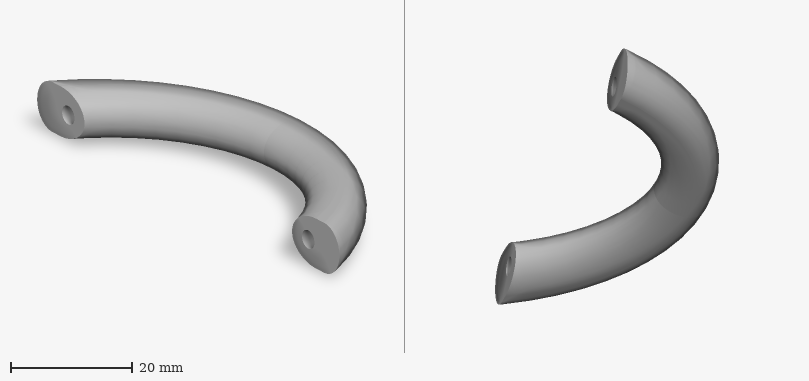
import cadquery as cq
import math

length = 80.6
rise = 25.3
thickness = 9.0

inner_span = 55.35
inner_rise = 15.9

outer_nose = 3.6
inner_nose = 5.6

hole_spacing = 64.0
hole_diameter = 3.3
hole_depth = 8.05
drill_tip_angle = 118.0


def arc_radius(span, height):
    """Radius of the circular arc with the given chord and height."""
    return ((span / 2) ** 2 + height**2) / (2 * height)


outer_radius = arc_radius(length, rise)
outer_center = rise - outer_radius
inner_radius = arc_radius(inner_span, inner_rise)
inner_center = inner_rise - inner_radius

outer_web_radius = outer_radius - outer_nose
inner_web_radius = inner_radius + inner_nose


def disk(radius, center_y):
    return cq.Workplane("XY").center(0, center_y).circle(radius).extrude(thickness / 2, both=True)


def rounded_edge(web_radius, tip_radius, center_y):
    """Half ring of two mirrored quarters, with a half-ellipse section."""
    half = thickness / 2
    tip_direction = math.copysign(1, tip_radius - web_radius)
    start_angle = -90 if tip_direction > 0 else 90
    return (
        cq.Workplane("XY")
        .moveTo(web_radius, -tip_direction * half)
        .ellipseArc(
            abs(tip_radius - web_radius), half, start_angle, start_angle + 180, startAtCurrent=True
        )
        .close()
        .revolve(90, (0, 0, 0), (0, 1, 0))
        .rotate((0, 0, 0), (1, 0, 0), 90)
        .translate((0, center_y, 0))
        .mirror("YZ", union=True)
    )


def above_feet(ring):
    keep = cq.Workplane("XY").box(2 * length, rise + 0.8, 2 * thickness, centered=(True, False, True))
    return ring.intersect(keep)


def mounting_hole(x):
    """Drilled hole with a conical bottom, entering a foot along +Y."""
    radius = hole_diameter / 2
    tip_depth = radius / math.tan(math.radians(drill_tip_angle / 2))
    profile = [(0, 0), (radius, 0), (radius, hole_depth), (0, hole_depth + tip_depth)]
    drill = cq.Workplane("XY").polyline(profile).close().revolve(360, (0, 0, 0), (0, 1, 0))
    return drill.translate((x, 0, 0))


web = above_feet(disk(outer_web_radius, outer_center).cut(disk(inner_web_radius, inner_center)))
outer_edge = above_feet(rounded_edge(outer_web_radius, outer_radius, outer_center))
inner_edge = above_feet(rounded_edge(inner_web_radius, inner_radius, inner_center))
handle = web.union(outer_edge).union(inner_edge)

for side in (-1, 1):
    handle = handle.cut(mounting_hole(side * hole_spacing / 2))

result = handle